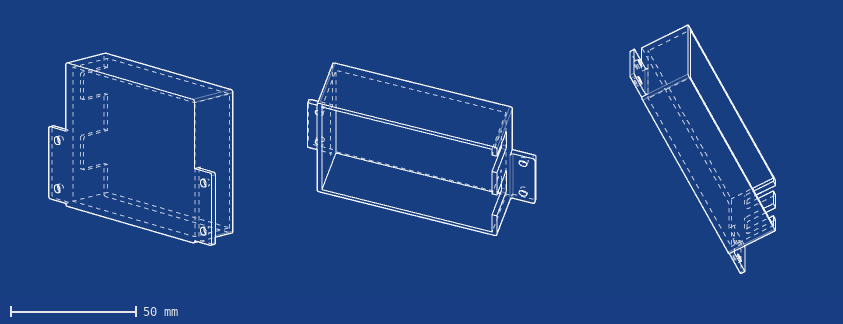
import cadquery as cq

box_width = 75.05
box_depth = 21.0
box_height = 59.6
box_corner_radius = 1.0
wall = 2.0

flange_width = 95.0
flange_height = 30.0
flange_thickness = wall
flange_bottom = 1.0
flange_corner_radius = 0.95
root_fillet_radius = 0.95

hole_diameter = 3.2
hole_side_inset = 4.9
hole_end_inset = 5.0

notch_spans = [(13.6, 27.6), (42.7, 53.8)]
notch_depth = 13.0
notch_corner_radius = 1.0


def block(width, depth, height, bottom, front=0.0):
    """Block centred on X, starting at the given front Y and bottom Z."""
    return (
        cq.Workplane("XY")
        .box(width, depth, height, centered=(True, False, False))
        .translate((0, front, bottom))
    )


def make_body():
    """Solid box envelope with flanges, rounded corners and root fillets."""
    box = block(box_width, box_depth, box_height, 0).edges("|Y").fillet(box_corner_radius)
    flange = block(flange_width, flange_thickness, flange_height, flange_bottom)
    flange = flange.edges("|Y").fillet(flange_corner_radius)
    return box.union(flange)


def make_root_fillet(side):
    """Concave fillet strip between flange back and box wall; side is -1 or +1."""
    wall_x = side * box_width / 2
    r = root_fillet_radius
    outer_x = wall_x + side * r
    arc_inset = r * (1 - 0.5 ** 0.5)
    y_base = flange_thickness
    top = flange_bottom + flange_height
    bottom = max(flange_bottom, box_corner_radius)
    return (
        cq.Workplane("XY", origin=(0, 0, bottom))
        .moveTo(wall_x, y_base)
        .lineTo(outer_x, y_base)
        .threePointArc((wall_x + side * arc_inset, y_base + arc_inset), (wall_x, y_base + r))
        .close()
        .extrude(top - bottom)
    )


def make_holes():
    """Mounting hole cutters, one near each flange corner."""
    hole_spacing_x = flange_width - 2 * hole_side_inset
    hole_spacing_z = flange_height - 2 * hole_end_inset
    return (
        cq.Workplane("XZ")
        .center(0, flange_bottom + flange_height / 2)
        .rect(hole_spacing_x, hole_spacing_z, forConstruction=True)
        .vertices()
        .circle(hole_diameter / 2)
        .extrude(-flange_thickness)
    )


def make_notch(bottom, top):
    """Cutter for one notch in the left wall, rounded at its front corners."""
    notch = block(2 * wall, notch_depth, top - bottom, bottom, box_depth - notch_depth)
    notch = notch.edges("|X and <Y").fillet(notch_corner_radius)
    return notch.translate((-box_width / 2, 0, 0))


result = make_body()
for side in (-1, 1):
    result = result.union(make_root_fillet(side))

cavity = block(box_width - 2 * wall, box_depth - wall, box_height - 2 * wall, wall, wall)
result = result.cut(cavity).cut(make_holes())

for bottom, top in notch_spans:
    result = result.cut(make_notch(bottom, top))